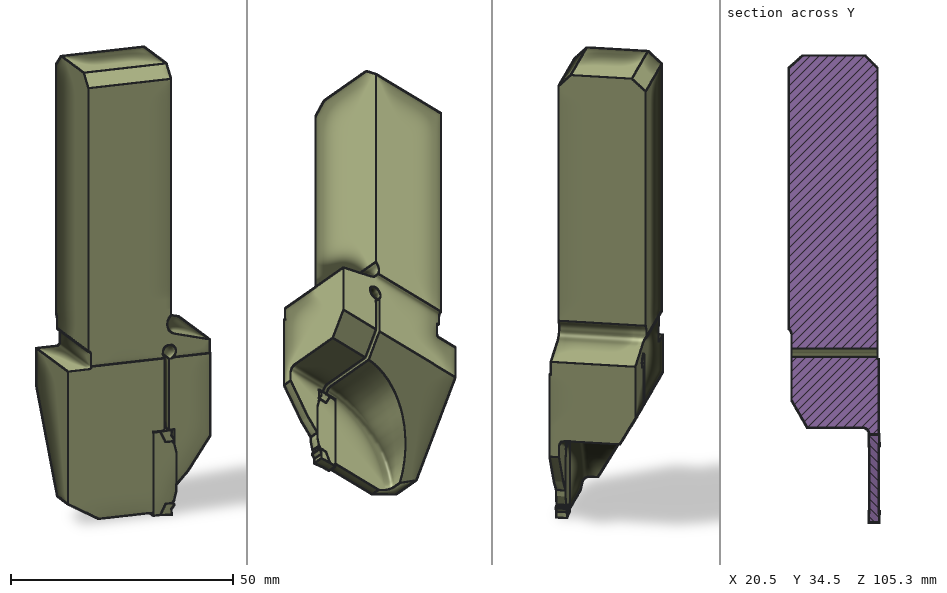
import cadquery as cq
import math


shank_size = 20.0
overall_height = 105.3
top_chamfer_left = 3.2
top_chamfer_right = 2.8
top_chamfer_height = 2.8

head_left = 0.6
head_right = 20.3
left_fillet_radius = 1.6
left_fillet_bottom = 42.4
right_step_height = 37.0
taper_top = 27.6
taper_angle = 30.0

head_front = -5.1
head_back = 29.4
ledge_height = 36.4
neck_depth = 0.6
neck_top = 40.4
neck_fillet = 0.6
head_bottom = 1.0
bottom_chamfer_start = 2.3
bottom_chamfer_angle = 30.0
shoulder_height = 40.1
shoulder_angle = 15.0
relief_radius = 2.5
relief_depth = 1.0
jaw_tip_height = 7.0
jaw_flank_bend = (24.0, 9.9)
jaw_flank_top = 17.6

blade_left = 18.1
recess_radius = 20.7
recess_center_y = 19.5
recess_top = 21.5
recess_fillet = 1.5

slit_hole_diameter = 3.2
slit_hole_y = 19.6
slit_hole_z = 38.3
slit_width = 1.1
slit_center_y = 18.8

insert_length = 20.0
insert_seat_y = 15.6
insert_back_y = 21.2
insert_waist_height = 9.1
insert_shoulder_y = 20.6
insert_shoulder_z = 3.4
cutting_edge_y = 20.0
relief_face_z = 0.2
tip_left = 18.0
tip_right = 20.5
tip_root = (17.3, relief_face_z)
tip_inner = (18.5, 2.7)
chip_groove = (19.9, 1.4)
chip_bump = (20.6, 2.4)
chip_notch = (20.2, 2.7)

insert_mid_z = insert_length / 2
x_margin = 1.1


def side_prism(points, x_from, x_to):
    """Prism of a closed (Y, Z) outline between two X positions."""
    return (
        cq.Workplane("YZ", origin=(x_from, 0, 0))
        .polyline(points)
        .close()
        .extrude(x_to - x_from)
    )


def front_profile():
    """Holder outline in X and Z, extruded over the whole depth."""
    arc_center_offset = left_fillet_radius - head_left
    fillet_top = left_fillet_bottom + math.sqrt(left_fillet_radius**2 - arc_center_offset**2)
    half_angle = math.acos(arc_center_offset / left_fillet_radius) / 2
    fillet_mid = (
        head_left - left_fillet_radius * (1 - math.cos(half_angle)),
        left_fillet_bottom + left_fillet_radius * math.sin(half_angle),
    )
    taper_x = head_left + (taper_top - head_bottom) * math.tan(math.radians(taper_angle))
    return (
        cq.Workplane("XZ", origin=(0, head_back, 0))
        .moveTo(taper_x, head_bottom)
        .lineTo(head_right, head_bottom)
        .lineTo(head_right, right_step_height)
        .lineTo(shank_size, right_step_height)
        .lineTo(shank_size, overall_height - top_chamfer_height)
        .lineTo(shank_size - top_chamfer_right, overall_height)
        .lineTo(top_chamfer_left, overall_height)
        .lineTo(0, overall_height - top_chamfer_height)
        .lineTo(0, fillet_top)
        .threePointArc(fillet_mid, (head_left, left_fillet_bottom))
        .lineTo(head_left, taper_top)
        .close()
        .extrude(head_back - head_front)
    )


def side_profile():
    """Holder outline in Y and Z, extruded over the whole width."""
    slope = math.radians(shoulder_angle)
    relief_y = shank_size - relief_depth + relief_radius
    slope_z = shoulder_height + (head_back - relief_y) * math.tan(slope)
    relief_z = slope_z + relief_radius / math.cos(slope)
    relief_start = (
        relief_y - relief_radius * math.sin(slope),
        relief_z - relief_radius * math.cos(slope),
    )
    relief_mid = (relief_y - relief_radius, relief_z)
    relief_end_z = relief_z + math.sqrt(relief_radius**2 - (relief_y - shank_size) ** 2)
    chamfer_rise = (bottom_chamfer_start - head_front) * math.tan(math.radians(bottom_chamfer_angle))
    return (
        cq.Workplane("YZ")
        .moveTo(bottom_chamfer_start, head_bottom)
        .lineTo(insert_back_y, head_bottom)
        .lineTo(insert_back_y, jaw_tip_height)
        .lineTo(*jaw_flank_bend)
        .lineTo(head_back, jaw_flank_top)
        .lineTo(head_back, shoulder_height)
        .lineTo(*relief_start)
        .threePointArc(relief_mid, (shank_size, relief_end_z))
        .lineTo(shank_size, overall_height)
        .lineTo(0, overall_height)
        .lineTo(0, ledge_height)
        .lineTo(head_front, ledge_height)
        .lineTo(head_front, head_bottom + chamfer_rise)
        .close()
        .extrude(head_right)
    )


def neck_groove():
    """Shallow undercut across the front face, just above the ledge, with rounded inner corners."""
    depth = neck_depth - head_front
    groove = cq.Workplane("XY").box(
        head_right + 2 * x_margin,
        depth,
        neck_top - ledge_height,
        centered=False,
    )
    groove = groove.faces(">Y").edges("|X").fillet(neck_fillet)
    return groove.translate((-x_margin, head_front, ledge_height))


def blade_recess():
    """Rounded recess that thins the head to a blade, with a filleted floor edge."""
    center_z = recess_top - recess_radius
    diagonal = recess_radius * math.sqrt(0.5)
    recess = (
        cq.Workplane("YZ", origin=(-x_margin, 0, 0))
        .moveTo(recess_center_y - recess_radius, center_z)
        .threePointArc(
            (recess_center_y - diagonal, center_z + diagonal),
            (recess_center_y, recess_top),
        )
        .lineTo(head_back + recess_radius, recess_top)
        .lineTo(head_back + recess_radius, -recess_radius)
        .lineTo(recess_center_y - recess_radius, -recess_radius)
        .close()
        .extrude(blade_left + x_margin)
    )
    return recess.faces(">X").edges().fillet(recess_fillet)


def clamping_slit():
    """Round hole with a narrow slit running down to the insert seat."""
    hole = (
        cq.Workplane("YZ", origin=(-x_margin, 0, 0))
        .center(slit_hole_y, slit_hole_z)
        .circle(slit_hole_diameter / 2)
        .extrude(head_right + 2 * x_margin)
    )
    slit = cq.Workplane("XY").box(
        head_right + 2 * x_margin,
        slit_width,
        slit_hole_z - insert_mid_z,
        centered=(False, True, False),
    )
    return hole.union(slit.translate((-x_margin, slit_center_y, insert_mid_z)))


def insert_pocket():
    """Opening through the blade that holds the insert, open at the bottom."""
    waist_top = insert_mid_z + insert_waist_height / 2
    points = [
        (insert_seat_y, 0),
        (insert_back_y, 0),
        (insert_back_y, waist_top),
        (insert_shoulder_y, insert_length - insert_shoulder_z),
        (insert_shoulder_y, insert_length),
        (insert_seat_y, insert_length),
    ]
    return side_prism(points, -x_margin, head_right + x_margin)


def make_holder():
    """Shank and head in one piece."""
    holder = front_profile().intersect(side_profile())
    for cutter in (neck_groove(), blade_recess(), clamping_slit(), insert_pocket()):
        holder = holder.cut(cutter)
    return holder.solids()


def flip_z(point):
    """Same place at the other end of the insert."""
    return (point[0], insert_length - point[1])


def side_clearance():
    """Wedge that narrows the tips from their rake side down to the thickness of the body."""
    rake_y = chip_bump[0]
    root_y = tip_root[0]
    return (
        cq.Workplane("XY")
        .polyline([(tip_left, rake_y), (tip_right, rake_y), (head_right, root_y), (blade_left, root_y)])
        .close()
        .extrude(insert_length)
    )


def make_insert():
    """Slim body with a wider cutting tip at each end."""
    half_outline = [
        (insert_seat_y, relief_face_z),
        tip_root,
        (cutting_edge_y, 0),
        chip_groove,
        chip_bump,
        chip_notch,
        (insert_shoulder_y, insert_shoulder_z),
        (insert_back_y, insert_mid_z - insert_waist_height / 2),
    ]
    body = side_prism(
        half_outline + [flip_z(point) for point in reversed(half_outline)],
        blade_left,
        head_right,
    )
    tip = [tip_root, (cutting_edge_y, 0), chip_groove, chip_bump, chip_notch, tip_inner]
    clearance = side_clearance()
    for outline in (tip, [flip_z(point) for point in tip]):
        body = body.union(side_prism(outline, tip_left, tip_right).intersect(clearance))
    return body.solids()


holder = make_holder()
insert = make_insert()
result = cq.Compound.makeCompound([holder.val(), insert.val()])